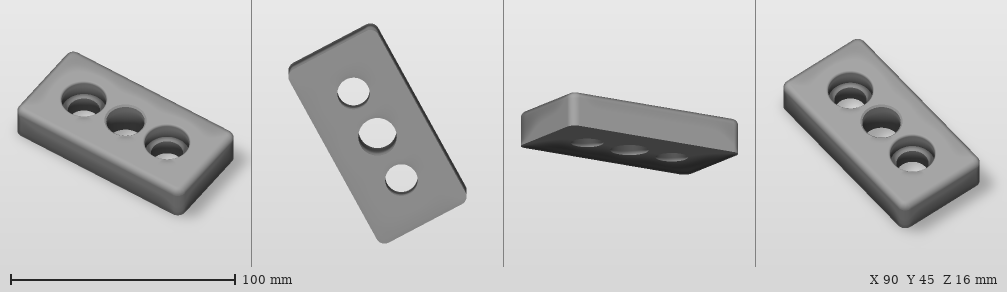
import cadquery as cq

length = 90.0
width = length / 2
height = 16.0
corner_radius = 4.0
top_fillet = 3.0

centre_hole_diameter = 17.2
centre_chamfer = 0.8

bolt_spacing = length / 2
bolt_hole_diameter = 14.5
counterbore_diameter = 20.0
counterbore_depth = 8.0
counterbore_fillet = 1.0

rim_margin = 0.1


def make_block():
    """Block with its base on Z = 0, rounded corners and a rounded top edge."""
    block = cq.Workplane("XY").box(length, width, height, centered=(True, True, False))
    block = block.edges("|Z").fillet(corner_radius)
    return block.faces(">Z").edges().fillet(top_fillet)


def top_rim(part, x, diameter):
    """Select the circular rim of the hole centred at x on the top face."""
    reach = diameter / 2 + rim_margin
    rim_box = cq.selectors.BoxSelector(
        (x - reach, -reach, height - rim_margin),
        (x + reach, reach, height + rim_margin),
        boundingbox=True,
    )
    return part.edges(rim_box)


def add_centre_hole(part):
    """Cut the through hole at the origin and chamfer its upper rim."""
    part = part.faces(">Z").workplane(origin=(0, 0, height)).hole(centre_hole_diameter)
    return top_rim(part, 0, centre_hole_diameter).chamfer(centre_chamfer)


def add_bolt_hole(part, x):
    """Cut a counterbored through hole at x and round its upper rim."""
    part = part.faces(">Z").workplane(origin=(x, 0, height))
    part = part.cboreHole(bolt_hole_diameter, counterbore_diameter, counterbore_depth)
    return top_rim(part, x, counterbore_diameter).fillet(counterbore_fillet)


result = add_centre_hole(make_block())
for side in (-1, 1):
    result = add_bolt_hole(result, side * bolt_spacing / 2)